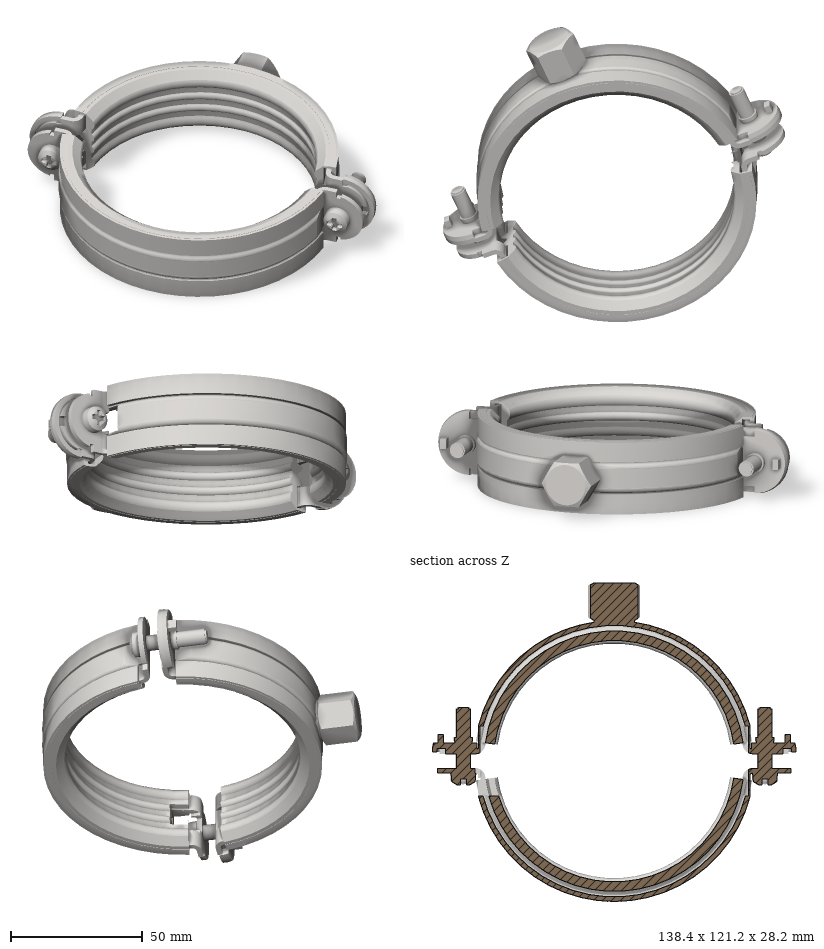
import cadquery as cq
import math


OVERALL_LENGTH = 138.4

STRIP_THICK = 2.0
STRIP_OUTER_R = 51.2
STRIP_INNER_R = STRIP_OUTER_R - STRIP_THICK
STRIP_HALF_WIDTH = 12.3
HALF_GAP_ANGLE = 8.0
SWEEP = 180 - 2 * HALF_GAP_ANGLE

RIB_R = 53.4
RIB_HALF_WIDTH = 6.0
RIB_RISE = RIB_R - STRIP_OUTER_R
RIB_CUT_X = 51.8
RIB_END_Y = math.sqrt(RIB_R**2 - RIB_CUT_X**2)

RUBBER_OUTER_R = 53.0
RUBBER_HALF_WIDTH = 14.1
BEAD_OUTER_R = 52.0
BEAD_INNER_R = 49.7
BEAD_HEIGHT = 0.1
RUBBER_BACK_R = 48.2
LIP_EDGE_Z = 6.2
CAVITY_TOP_Z = 13.1
RIDGE_CREST_R = 44.7
RIDGE_VALLEY_R = 45.8
RIDGE_PITCH = 5.8
RIDGE_HALF_WIDTH = 1.7
CONE_END_R = 45.1
CONE_END_Z = 11.2
TOOTH_TIP_R = 51.0
TOOTH_INNER_Z = 2.5
TOOTH_OUTER_Z = 3.7
TOOTH_ROOT_Z = 4.7

TAB_GAP = 5.4
TAB_FACE_Y = TAB_GAP / 2
TAB_BACK_Y = TAB_FACE_Y + STRIP_THICK
BEND_INNER_R = 2.0
BEND_OUTER_R = BEND_INNER_R + STRIP_THICK
BEND_X = 52.7
BEND_Y = TAB_BACK_Y + BEND_INNER_R
BEND_LEG = 0.8
TAB_DISC_X = 56.6
TAB_DISC_R = 10.7
UPPER_TAB_DISC_R = 10.0
TAB_NOTCH_LENGTH = 1.8
TAB_NOTCH_Z = 9.5
WINDOW_HALF_WIDTH = 5.0
BEND_WINDOW_HALF_WIDTH = 3.6
WINDOW_INNER_X = 48.3
RIB_WALL_INNER_X = 51.0
LINING_NOTCH_INNER_X = 41.5

KEEPER_TOP_Y = 6.9
KEEPER_RIM_Y = 3.3
KEEPER_INNER_X = 52.0
KEEPER_R = OVERALL_LENGTH / 2 - TAB_DISC_X
KEEPER_BEVEL_HEIGHT = 1.8
KEEPER_BEVEL_DEPTH = 0.4
TAB_SLOT_X = 64.2
PIN_INNER_X = 64.8
PIN_LENGTH_X = 2.2
PIN_WIDTH = 3.9
PIN_TOP_Y = 10.2

SCREW_X = 57.3
SCREW_D = 6.0
SCREW_TIP_Y = 20.5
SCREW_TIP_CHAMFER = 0.5
COLLAR_D = 7.3
COLLAR_NECK_D = 7.0
COLLAR_STEP_Y = 7.6
COLLAR_TOP_Y = 9.0
HEAD_D = 10.0
HEAD_RIM_D = 9.4
HEAD_RIM_HEIGHT = 3.2
HEAD_HEIGHT = 4.4
HEAD_CROWN_D = 5.5
RECESS_LENGTH = 6.1
RECESS_ARM = 2.0
RECESS_CENTRE_D = 3.3
RECESS_DEPTH = 2.2

NUT_TOP_Y = 67.8
NUT_BOTTOM_Y = 53.4
NUT_FLATS = 17.0
NUT_CORNERS = NUT_FLATS / math.cos(math.pi / 6)
NUT_FACE_D = 15.6
NUT_CHAMFER_HEIGHT = 1.1
NUT_NECK_BOTTOM_Y = 52.3


def box(x_range, y_range, z_range):
    """Box between the two limits given on each axis."""
    (x0, x1), (y0, y1), (z0, z1) = x_range, y_range, z_range
    return cq.Workplane("XY").box(x1 - x0, y1 - y0, z1 - z0, centered=False).translate((x0, y0, z0))


def y_cylinder(x, diameter, y0, y1):
    """Cylinder along Y between y0 and y1, at the given X and Z = 0."""
    return cq.Workplane("XZ", origin=(x, y0, 0)).circle(diameter / 2).extrude(-(y1 - y0))


def sweep_half(profile):
    """Sweep a radius-height profile around Z over the upper half ring."""
    ring = profile.close().revolve(SWEEP, (0, 0, 0), (0, 1, 0))
    return ring.rotate((0, 0, 0), (0, 0, 1), HALF_GAP_ANGLE)


def rib_outline():
    """Radius-height outline of the strip's outer side and edges, open on the inside."""
    flat_z = RIB_HALF_WIDTH - RIB_RISE
    mid_r = STRIP_OUTER_R + RIB_RISE * math.sqrt(0.5)
    mid_z = flat_z + RIB_RISE * math.sqrt(0.5)
    return (
        cq.Workplane("XZ")
        .moveTo(STRIP_INNER_R, -STRIP_HALF_WIDTH)
        .lineTo(STRIP_OUTER_R, -STRIP_HALF_WIDTH)
        .lineTo(STRIP_OUTER_R, -RIB_HALF_WIDTH)
        .threePointArc((mid_r, -mid_z), (RIB_R, -flat_z))
        .lineTo(RIB_R, flat_z)
        .threePointArc((mid_r, mid_z), (STRIP_OUTER_R, RIB_HALF_WIDTH))
        .lineTo(STRIP_OUTER_R, STRIP_HALF_WIDTH)
        .lineTo(STRIP_INNER_R, STRIP_HALF_WIDTH)
    )


def strip_half():
    """Curved metal strip with the pressed rib, hollow behind."""
    hollow_r = RIB_R - STRIP_THICK
    hollow_z = RIB_HALF_WIDTH - RIB_RISE
    profile = (
        rib_outline()
        .lineTo(STRIP_INNER_R, hollow_z)
        .lineTo(hollow_r, hollow_z)
        .lineTo(hollow_r, -hollow_z)
        .lineTo(STRIP_INNER_R, -hollow_z)
    )
    return sweep_half(profile)


def rib_end_wall():
    """Flat wall that closes the cut end of the rib on the +X side."""
    solid_rib = rib_outline().close().revolve(360, (0, 0, 0), (0, 1, 0))
    wall = box(
        (RIB_WALL_INNER_X, RIB_CUT_X), (TAB_BACK_Y, RIB_END_Y), (-WINDOW_HALF_WIDTH, WINDOW_HALF_WIDTH)
    )
    return solid_rib.intersect(wall)


def rubber_half():
    """Rubber lining: clip lips over the strip edges, rounded ridges inside, teeth in the rib hollow."""
    side_z = RUBBER_HALF_WIDTH - BEAD_HEIGHT
    ridge_z = [RIDGE_PITCH * step for step in (1.5, 0.5, -0.5, -1.5)]
    profile = (
        cq.Workplane("XZ")
        .moveTo(RUBBER_OUTER_R, LIP_EDGE_Z)
        .lineTo(RUBBER_OUTER_R, side_z)
        .lineTo(BEAD_OUTER_R, side_z)
        .lineTo(BEAD_OUTER_R, RUBBER_HALF_WIDTH)
        .lineTo(BEAD_INNER_R, RUBBER_HALF_WIDTH)
        .lineTo(BEAD_INNER_R, side_z)
        .lineTo(RUBBER_BACK_R, side_z)
        .lineTo(CONE_END_R, CONE_END_Z)
        .threePointArc((RIDGE_CREST_R, ridge_z[0]), (RIDGE_VALLEY_R, ridge_z[0] - RIDGE_HALF_WIDTH))
    )
    for z in ridge_z[1:3]:
        profile = profile.lineTo(RIDGE_VALLEY_R, z + RIDGE_HALF_WIDTH).threePointArc(
            (RIDGE_CREST_R, z), (RIDGE_VALLEY_R, z - RIDGE_HALF_WIDTH)
        )
    profile = (
        profile.lineTo(RIDGE_VALLEY_R, ridge_z[3] + RIDGE_HALF_WIDTH)
        .threePointArc((RIDGE_CREST_R, ridge_z[3]), (CONE_END_R, -CONE_END_Z))
        .lineTo(RUBBER_BACK_R, -side_z)
        .lineTo(BEAD_INNER_R, -side_z)
        .lineTo(BEAD_INNER_R, -RUBBER_HALF_WIDTH)
        .lineTo(BEAD_OUTER_R, -RUBBER_HALF_WIDTH)
        .lineTo(BEAD_OUTER_R, -side_z)
        .lineTo(RUBBER_OUTER_R, -side_z)
        .lineTo(RUBBER_OUTER_R, -LIP_EDGE_Z)
        .lineTo(STRIP_OUTER_R, -LIP_EDGE_Z)
        .lineTo(STRIP_OUTER_R, -CAVITY_TOP_Z)
        .lineTo(RUBBER_BACK_R, -CAVITY_TOP_Z)
        .lineTo(RUBBER_BACK_R, -TOOTH_ROOT_Z)
        .lineTo(TOOTH_TIP_R, -TOOTH_OUTER_Z)
        .lineTo(TOOTH_TIP_R, -TOOTH_INNER_Z)
        .lineTo(RUBBER_BACK_R, 0)
        .lineTo(TOOTH_TIP_R, TOOTH_INNER_Z)
        .lineTo(TOOTH_TIP_R, TOOTH_OUTER_Z)
        .lineTo(RUBBER_BACK_R, TOOTH_ROOT_Z)
        .lineTo(RUBBER_BACK_R, CAVITY_TOP_Z)
        .lineTo(STRIP_OUTER_R, CAVITY_TOP_Z)
        .lineTo(STRIP_OUTER_R, LIP_EDGE_Z)
    )
    return sweep_half(profile)


def window(x0, x1, half_width):
    """Block from the tab face to the cut end of the rib."""
    return box((x0, x1), (TAB_FACE_Y, RIB_END_Y), (-half_width, half_width))


def cut_both_sides(body, cutter):
    """Cut the +X cutter and its -X mirror image."""
    return body.cut(cutter).cut(cutter.mirror("YZ"))


def half_disc(radius, y0, y1):
    """Half disc pointing to +X from the tab end centre."""
    outer_half = box((TAB_DISC_X, TAB_DISC_X + radius), (y0, y1), (-radius, radius))
    return y_cylinder(TAB_DISC_X, 2 * radius, y0, y1).intersect(outer_half)


def corner_notches(y_range):
    """Blocks in the two corners where a tab's straight part meets its round end."""
    notch_x = (TAB_DISC_X, TAB_DISC_X + TAB_NOTCH_LENGTH)
    upper = box(notch_x, y_range, (TAB_NOTCH_Z, STRIP_HALF_WIDTH))
    return upper.union(upper.mirror("XY"))


def tab(disc_r):
    """Tab on the +X end of a half ring: bend, straight part and notched round end."""
    outer_mid = BEND_OUTER_R * math.sqrt(0.5)
    inner_mid = BEND_INNER_R * math.sqrt(0.5)
    outer_leg_x = BEND_X - BEND_OUTER_R
    inner_leg_x = BEND_X - BEND_INNER_R
    bend = (
        cq.Workplane("XY", origin=(0, 0, -STRIP_HALF_WIDTH))
        .moveTo(outer_leg_x, BEND_Y + BEND_LEG)
        .lineTo(outer_leg_x, BEND_Y)
        .threePointArc((BEND_X - outer_mid, BEND_Y - outer_mid), (BEND_X, TAB_FACE_Y))
        .lineTo(TAB_DISC_X, TAB_FACE_Y)
        .lineTo(TAB_DISC_X, TAB_BACK_Y)
        .lineTo(BEND_X, TAB_BACK_Y)
        .threePointArc((BEND_X - inner_mid, BEND_Y - inner_mid), (inner_leg_x, BEND_Y))
        .lineTo(inner_leg_x, BEND_Y + BEND_LEG)
        .close()
        .extrude(2 * STRIP_HALF_WIDTH)
    )
    thickness = (TAB_FACE_Y, TAB_BACK_Y)
    disc = half_disc(disc_r, *thickness).cut(corner_notches(thickness))
    return bend.union(disc)


def metal_half(disc_r):
    """Strip with a tab on both ends, its rib cut back and walled off beside the screws."""
    right_tab = tab(disc_r)
    metal = strip_half().union(right_tab).union(right_tab.mirror("YZ"))
    rib_cut = box((RIB_CUT_X, RIB_R), (BEND_Y, RIB_END_Y), (-RIB_HALF_WIDTH, RIB_HALF_WIDTH))
    hollow = window(WINDOW_INNER_X, RIB_WALL_INNER_X, WINDOW_HALF_WIDTH)
    wall = rib_end_wall()
    metal = cut_both_sides(metal, rib_cut.union(hollow))
    return metal.union(wall).union(wall.mirror("YZ"))


def upper_half():
    """Half ring on the nut side, its tab ends slotted for the keeper pins."""
    slot = box(
        (TAB_SLOT_X, TAB_DISC_X + UPPER_TAB_DISC_R),
        (TAB_FACE_Y, TAB_BACK_Y),
        (-PIN_WIDTH / 2, PIN_WIDTH / 2),
    )
    return cut_both_sides(metal_half(UPPER_TAB_DISC_R), slot).union(rubber_half())


def lower_half():
    """Half ring on the screw head side, open beside the -X head."""
    ring_window = box(
        (LINING_NOTCH_INNER_X, BEND_X), (BEND_Y, RIB_END_Y), (-WINDOW_HALF_WIDTH, WINDOW_HALF_WIDTH)
    )
    opening = ring_window.union(window(LINING_NOTCH_INNER_X, BEND_X, BEND_WINDOW_HALF_WIDTH))
    return metal_half(TAB_DISC_R).union(rubber_half()).cut(opening.mirror("YZ")).mirror("XZ")


def keeper():
    """Keeper on the +X upper tab: plate with a half-round rim hooked around the tab, and a pin."""
    plate_y = (TAB_BACK_Y, KEEPER_TOP_Y)
    plate = box((KEEPER_INNER_X, TAB_DISC_X), plate_y, (-TAB_NOTCH_Z, TAB_NOTCH_Z))
    bevel_start_y = KEEPER_TOP_Y - KEEPER_BEVEL_HEIGHT
    cup = (
        cq.Workplane("XY", origin=(TAB_DISC_X, 0, 0))
        .moveTo(0, KEEPER_RIM_Y)
        .lineTo(KEEPER_R, KEEPER_RIM_Y)
        .lineTo(KEEPER_R, bevel_start_y)
        .lineTo(KEEPER_R - KEEPER_BEVEL_DEPTH, KEEPER_TOP_Y)
        .lineTo(0, KEEPER_TOP_Y)
        .close()
        .revolve(360, (0, 0, 0), (0, 1, 0))
        .intersect(half_disc(KEEPER_R, KEEPER_RIM_Y, KEEPER_TOP_Y))
    )
    pin = box(
        (PIN_INNER_X, PIN_INNER_X + PIN_LENGTH_X),
        (TAB_BACK_Y, PIN_TOP_Y),
        (-PIN_WIDTH / 2, PIN_WIDTH / 2),
    )
    rim_y = (KEEPER_RIM_Y, TAB_BACK_Y)
    seat = half_disc(TAB_DISC_R, *rim_y).cut(corner_notches(rim_y))
    return plate.union(cup.cut(seat)).union(pin)


def screw():
    """Cross-recessed screw on the +X side with the collar that it threads into."""
    head_top_y = -TAB_BACK_Y - HEAD_HEIGHT
    rim_y = -TAB_BACK_Y - HEAD_RIM_HEIGHT
    tip_r = SCREW_D / 2 - SCREW_TIP_CHAMFER
    body = (
        cq.Workplane("XY")
        .moveTo(0, head_top_y)
        .lineTo(HEAD_CROWN_D / 2, head_top_y)
        .lineTo(HEAD_RIM_D / 2, rim_y)
        .lineTo(HEAD_D / 2, -TAB_BACK_Y)
        .lineTo(SCREW_D / 2, -TAB_BACK_Y)
        .lineTo(SCREW_D / 2, SCREW_TIP_Y - SCREW_TIP_CHAMFER)
        .lineTo(tip_r, SCREW_TIP_Y - SCREW_TIP_CHAMFER)
        .lineTo(tip_r, SCREW_TIP_Y)
        .lineTo(0, SCREW_TIP_Y)
        .close()
        .revolve(360, (0, 0, 0), (0, 1, 0))
        .translate((SCREW_X, 0, 0))
    )
    collar = y_cylinder(SCREW_X, COLLAR_NECK_D, KEEPER_TOP_Y, COLLAR_STEP_Y)
    collar = collar.union(y_cylinder(SCREW_X, COLLAR_D, COLLAR_STEP_Y, COLLAR_TOP_Y))
    recess = y_cylinder(SCREW_X, RECESS_CENTRE_D, head_top_y, head_top_y + RECESS_DEPTH)
    for arm_x, arm_z in ((RECESS_LENGTH, RECESS_ARM), (RECESS_ARM, RECESS_LENGTH)):
        arm = box(
            (SCREW_X - arm_x / 2, SCREW_X + arm_x / 2),
            (head_top_y, head_top_y + RECESS_DEPTH),
            (-arm_z / 2, arm_z / 2),
        )
        recess = recess.union(arm)
    return body.cut(recess).union(collar)


def nut():
    """Hex nut with corners along X, chamfered at both ends, on a round neck."""
    hexagon = (
        cq.Workplane("XZ", origin=(0, NUT_BOTTOM_Y, 0))
        .polygon(6, NUT_CORNERS)
        .extrude(-(NUT_TOP_Y - NUT_BOTTOM_Y))
    )
    rounding = (
        y_cylinder(0, NUT_CORNERS, NUT_BOTTOM_Y, NUT_TOP_Y)
        .faces("<Y or >Y")
        .chamfer(NUT_CHAMFER_HEIGHT, (NUT_CORNERS - NUT_FACE_D) / 2)
    )
    return hexagon.intersect(rounding).union(y_cylinder(0, NUT_FACE_D, NUT_NECK_BOTTOM_Y, NUT_BOTTOM_Y))


result = upper_half().union(lower_half()).union(nut())
for side_part in (keeper(), screw()):
    result = result.union(side_part).union(side_part.mirror("YZ"))